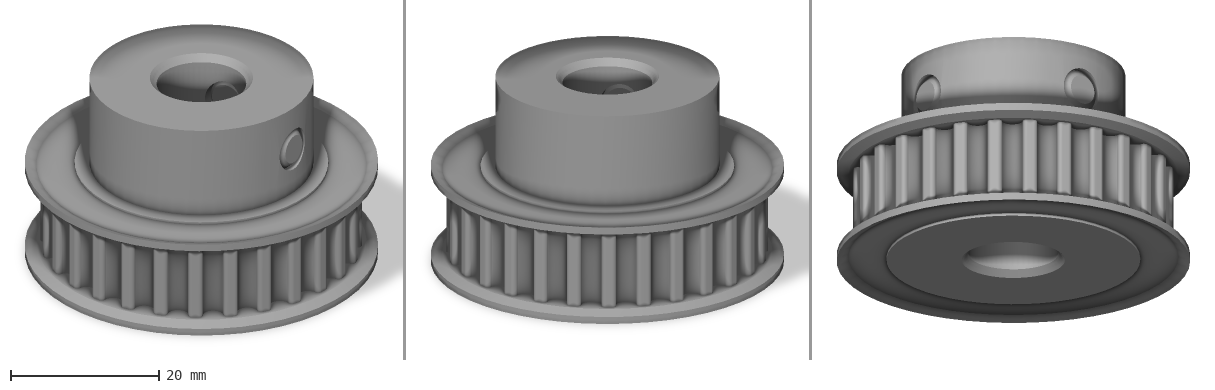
import cadquery as cq
import math

flange_radius = 23.8
flange_dish_radius = 22.25
flange_thickness = 1.0
flange_flare = 0.55
seat_radius = 17.1
seat_step = 0.4

pulley_height = 13.9
tooth_count = 28
tooth_tip_radius = 21.65
groove_depth = 1.95
groove_half_width = 1.4
tooth_edge_radius = 0.55
flank_length = 0.25

total_height = 26.6
hub_radius = 15.1
bore_radius = 6.05
bore_chamfer = 0.9

screw_radius = 3.0
screw_tip_chamfer = 0.55
screw_head_chamfer = 1.0
screw_tip_recess = 0.05
screw_height = (pulley_height + total_height) / 2
screw_angles = (0, 90)


def polar_point(radius, angle):
    return (radius * math.cos(angle), radius * math.sin(angle))


def make_toothed_body():
    """Cylinder between the flanges with round-bottomed belt grooves and rounded tooth edges."""
    pitch_angle = 2 * math.pi / tooth_count
    groove_bottom = tooth_tip_radius - groove_depth

    edge_center_distance = tooth_tip_radius - tooth_edge_radius
    edge_center_y = groove_half_width + tooth_edge_radius
    edge_angle = math.asin(edge_center_y / edge_center_distance)
    edge_center_x = edge_center_distance * math.cos(edge_angle)
    flank_bottom_x = edge_center_x - flank_length
    edge_middle_angle = (edge_angle - math.pi / 2) / 2
    edge_middle_x = edge_center_x + tooth_edge_radius * math.cos(edge_middle_angle)
    edge_middle_y = edge_center_y + tooth_edge_radius * math.sin(edge_middle_angle)

    outline = cq.Workplane("XY", origin=(0, 0, flange_flare))
    outline = outline.moveTo(*polar_point(tooth_tip_radius, -edge_angle))
    for index in range(tooth_count):
        turn = index * pitch_angle

        def turned(x, y):
            return polar_point(math.hypot(x, y), math.atan2(y, x) + turn)

        outline = (
            outline
            .threePointArc(turned(edge_middle_x, -edge_middle_y), turned(edge_center_x, -groove_half_width))
            .lineTo(*turned(flank_bottom_x, -groove_half_width))
            .threePointArc(turned(groove_bottom, 0), turned(flank_bottom_x, groove_half_width))
            .lineTo(*turned(edge_center_x, groove_half_width))
            .threePointArc(
                turned(edge_middle_x, edge_middle_y),
                polar_point(tooth_tip_radius, turn + edge_angle),
            )
            .threePointArc(
                polar_point(tooth_tip_radius, turn + pitch_angle / 2),
                polar_point(tooth_tip_radius, turn + pitch_angle - edge_angle),
            )
        )
    return outline.close().extrude(pulley_height - 2 * flange_flare)


def make_lower_flange():
    """Disc of constant thickness, dished up from its rim, with the raised seat ring below."""
    dish_bottom = flange_flare
    dish_top = flange_flare + flange_thickness
    seat_bottom = flange_flare - seat_step
    profile = [
        (0, seat_bottom),
        (seat_radius, seat_bottom),
        (seat_radius, dish_bottom),
        (flange_dish_radius, dish_bottom),
        (flange_radius, 0),
        (flange_radius, flange_thickness),
        (flange_dish_radius, dish_top),
        (0, dish_top),
    ]
    return cq.Workplane("XZ").polyline(profile).close().revolve(360, (0, 0, 0), (0, 1, 0))


def make_hub():
    base = pulley_height / 2
    return cq.Workplane("XY", origin=(0, 0, base)).circle(hub_radius).extrude(total_height - base)


def make_bore():
    """Through bore, chamfered at the hub end and at the flange end."""
    bottom = flange_flare - seat_step
    mouth_radius = bore_radius + bore_chamfer
    profile = [
        (0, bottom),
        (mouth_radius, bottom),
        (bore_radius, bottom + bore_chamfer),
        (bore_radius, total_height - bore_chamfer),
        (mouth_radius, total_height),
        (0, total_height),
    ]
    return cq.Workplane("XZ").polyline(profile).close().revolve(360, (0, 0, 0), (0, 1, 0))


def make_screw_hole():
    """Radial hole along X from the axis out through the hub wall."""
    return cq.Workplane("YZ", origin=(0, 0, screw_height)).circle(screw_radius).extrude(2 * hub_radius)


def make_screw():
    """Set screw along X, chamfered at both ends, from just short of the bore out to the hub radius."""
    tip = bore_radius + screw_tip_recess
    screw = cq.Workplane("YZ", origin=(tip, 0, screw_height)).circle(screw_radius).extrude(hub_radius - tip)
    screw = screw.faces("<X").chamfer(screw_tip_chamfer)
    return screw.faces(">X").chamfer(screw_head_chamfer)


lower_flange = make_lower_flange()
upper_flange = lower_flange.mirror("XY", (0, 0, pulley_height / 2))

result = make_toothed_body().union(lower_flange).union(upper_flange).union(make_hub()).cut(make_bore())

for screw_angle in screw_angles:
    hole = make_screw_hole().rotate((0, 0, 0), (0, 0, 1), screw_angle)
    screw = make_screw().rotate((0, 0, 0), (0, 0, 1), screw_angle)
    result = result.cut(hole).union(screw)